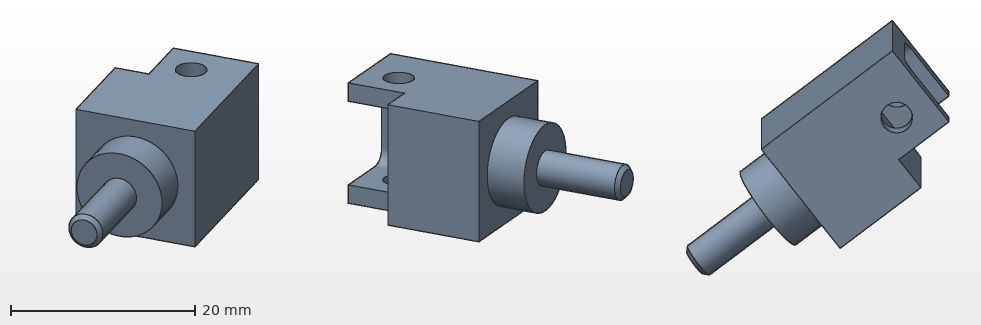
import cadquery as cq

total_length = 32.5
pin_length = 10.0
collar_length = 4.5
body_length = total_length - pin_length - collar_length

body_side = 14.0
collar_diameter = 10.0
pin_diameter = 4.0
pin_chamfer = 0.5

clevis_length = 6.9
corner_notch_width = 3.95
wall_thickness = 2.15
inner_fillet = 1.55
hole_diameter = 3.4
hole_x = 0.8
hole_to_end = 4.2

half_side = body_side / 2
clevis_start = body_length - clevis_length
inner_wall_x = half_side - wall_thickness
gap_height = body_side - 2 * wall_thickness


def cylinder_toward_front(diameter, start_y, length):
    """Cylinder on the Y axis, running from start_y toward -Y."""
    return cq.Workplane("XZ", origin=(0, start_y, 0)).circle(diameter / 2).extrude(length)


def box_from_corner(x, y, z, width, length, height):
    return cq.Workplane("XY").box(width, length, height, centered=False).translate((x, y, z))


body = box_from_corner(-half_side, 0, -half_side, body_side, body_length, body_side)

corner_notch = box_from_corner(
    -half_side, clevis_start, -half_side, corner_notch_width, clevis_length, body_side
)

gap = box_from_corner(
    -half_side, clevis_start, -gap_height / 2, inner_wall_x + half_side, clevis_length, gap_height
).edges("|Y and >X").fillet(inner_fillet)

hole_y = body_length - hole_to_end
cross_hole = (
    cq.Workplane("XY", origin=(hole_x, hole_y, -half_side))
    .circle(hole_diameter / 2)
    .extrude(body_side)
)

collar = cylinder_toward_front(collar_diameter, 0, collar_length)
pin = cylinder_toward_front(pin_diameter, -collar_length, pin_length)
pin = pin.faces("<Y").chamfer(pin_chamfer)

result = body.cut(corner_notch).cut(gap).cut(cross_hole).union(collar).union(pin)